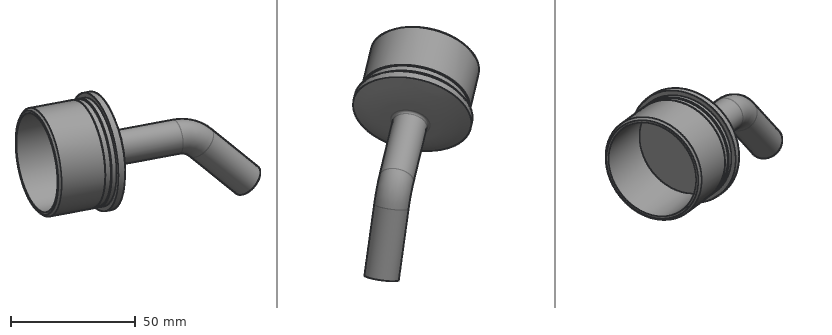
import cadquery as cq
import math


spigot_radius = 22.15
spigot_length = 25.0
wall_thickness = 2.0
bore_depth = 25.0
end_chamfer = 1.0

groove_start = 2.0
groove_width = 3.0
groove_depth = 0.35

flange_radius = 24.15
flange_thickness = 2.9
dome_height = 4.06

stem_radius = 7.0
stem_root_fillet = 1.0
bend_start = 35.77
bend_radius = 15.0
bend_angle = 45.0
leg_length = 29.17

bore_radius = spigot_radius - wall_thickness
groove_radius = spigot_radius - groove_depth
groove_end = groove_start + groove_width
dome_top = flange_thickness + dome_height
dome_top_radius = stem_radius + stem_root_fillet
fillet_end = dome_top + stem_root_fillet
bore_floor = bore_depth - spigot_length
bend_turn = math.radians(bend_angle)


def arc_middle(center_r, center_y, radius, angle):
    """Point on an arc of the (radius, Y) profile, at the given angle in degrees."""
    turn = math.radians(angle)
    return (center_r + radius * math.cos(turn), center_y + radius * math.sin(turn))


def make_head():
    """Spigot, flange, dome and stem root fillet, revolved about the Y axis."""
    dome_run = flange_radius - dome_top_radius
    dome_arc_radius = (dome_run**2 + dome_height**2) / (2 * dome_height)
    dome_sweep = math.degrees(math.asin(dome_run / dome_arc_radius))
    dome_middle = arc_middle(
        dome_top_radius, dome_top - dome_arc_radius, dome_arc_radius, 90 - dome_sweep / 2
    )
    fillet_middle = arc_middle(dome_top_radius, fillet_end, stem_root_fillet, 225)

    profile = (
        cq.Workplane("XY")
        .moveTo(0, bore_floor)
        .lineTo(bore_radius, bore_floor)
        .lineTo(bore_radius, -spigot_length)
        .lineTo(spigot_radius - end_chamfer, -spigot_length)
        .lineTo(spigot_radius, end_chamfer - spigot_length)
        .lineTo(spigot_radius, -groove_end)
        .lineTo(groove_radius, groove_depth - groove_end)
        .lineTo(groove_radius, -groove_start - groove_depth)
        .lineTo(spigot_radius, -groove_start)
        .lineTo(spigot_radius, 0)
        .lineTo(flange_radius, 0)
        .lineTo(flange_radius, flange_thickness)
        .threePointArc(dome_middle, (dome_top_radius, dome_top))
        .threePointArc(fillet_middle, (stem_radius, fillet_end))
        .lineTo(0, fillet_end)
        .close()
    )
    return profile.revolve(360, (0, 0, 0), (0, 1, 0))


def make_stem():
    """Solid round bar that runs along +Y, then bends down toward -Z into a straight leg."""
    bend_middle = (
        bend_start + bend_radius * math.sin(bend_turn / 2),
        -bend_radius * (1 - math.cos(bend_turn / 2)),
    )
    bend_end = (
        bend_start + bend_radius * math.sin(bend_turn),
        -bend_radius * (1 - math.cos(bend_turn)),
    )
    leg_end = (
        bend_end[0] + leg_length * math.cos(bend_turn),
        bend_end[1] - leg_length * math.sin(bend_turn),
    )
    path = (
        cq.Workplane("YZ")
        .moveTo(fillet_end, 0)
        .lineTo(bend_start, 0)
        .threePointArc(bend_middle, bend_end)
        .lineTo(*leg_end)
    )
    section = cq.Workplane("XZ", origin=(0, fillet_end, 0)).circle(stem_radius)
    return section.sweep(path)


result = make_head().union(make_stem())